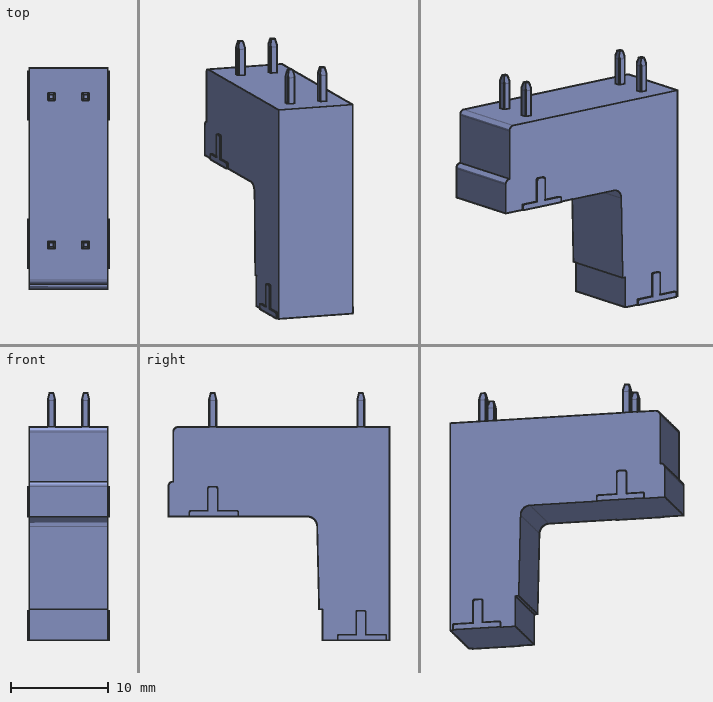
import cadquery as cq

body_width = 8.06
overall_height = 25.4
body_height = 21.9
upper_depth = 22.2
lip_depth = 22.7
lip_top_z = 16.3
arm_bottom_z = 12.7
foot_depth = 6.9
foot_height = 3.2
leg_depth_bottom = 7.25
leg_depth_top = 7.47
front_edge_radius = 0.5
lip_radius = lip_depth - upper_depth
inner_corner_radius = 1.0

pin_pitch_x = 3.5
pin_pitch_y = 15.2
rear_contact_y = -2.95
pin_size = 0.8
pin_height = overall_height - body_height
pin_tip_height = 0.76
pin_tip_size = 0.4
pin_edge_chamfer = 0.1

overall_width = 8.4
pad_flange_width = 5.0
pad_flange_height = 0.6
pad_stem_width = 1.0
pad_stem_height = 3.06
pad_flange_offset = 0.12
pad_flange_radius = 0.15
pad_stem_radius = 0.2
pad_base_levels = (0, arm_bottom_z)


def make_housing():
    profile = (
        cq.Workplane("YZ")
        .moveTo(0, 0)
        .lineTo(0, body_height)
        .lineTo(-upper_depth + front_edge_radius, body_height)
        .radiusArc((-upper_depth, body_height - front_edge_radius), -front_edge_radius)
        .lineTo(-upper_depth, lip_top_z)
        .radiusArc((-lip_depth, lip_top_z - lip_radius), -lip_radius)
        .lineTo(-lip_depth, arm_bottom_z)
        .lineTo(-leg_depth_top, arm_bottom_z)
        .lineTo(-leg_depth_bottom, foot_height)
        .lineTo(-foot_depth, foot_height)
        .lineTo(-foot_depth, 0)
        .close()
    )
    housing = profile.extrude(body_width / 2, both=True)
    inner_edge = cq.NearestToPointSelector((0, -leg_depth_top, arm_bottom_z))
    return housing.edges(inner_edge).fillet(inner_corner_radius)


def make_pin(x, y):
    """Square pin with chamfered long edges, tapered toward the tip on all four sides."""
    column = (
        cq.Workplane("XY", origin=(x, y, body_height))
        .rect(pin_size, pin_size)
        .extrude(pin_height)
        .edges("|Z")
        .chamfer(pin_edge_chamfer)
    )
    envelope = (
        cq.Workplane("XY", origin=(x, y, body_height))
        .rect(pin_size, pin_size)
        .extrude(pin_height - pin_tip_height)
        .faces(">Z")
        .workplane()
        .rect(pin_size, pin_size)
        .workplane(offset=pin_tip_height)
        .rect(pin_tip_size, pin_tip_size)
        .loft()
    )
    return column.intersect(envelope)


def make_pad_pair(stem_y, base_z):
    """T-shaped bar across the full width; its ends stand proud of both side faces."""
    flange = (
        cq.Workplane("XY", origin=(0, stem_y + pad_flange_offset, base_z))
        .box(overall_width, pad_flange_width, pad_flange_height, centered=(True, True, False))
        .edges("|X and >Z")
        .fillet(pad_flange_radius)
    )
    stem = (
        cq.Workplane("XY", origin=(0, stem_y, base_z))
        .box(overall_width, pad_stem_width, pad_stem_height, centered=(True, True, False))
        .edges("|X and >Z")
        .fillet(pad_stem_radius)
    )
    return flange.union(stem)


result = make_housing()

for row, base_z in enumerate(pad_base_levels):
    contact_y = rear_contact_y - row * pin_pitch_y
    result = result.union(make_pad_pair(contact_y, base_z))
    for side in (-1, 1):
        result = result.union(make_pin(side * pin_pitch_x / 2, contact_y))